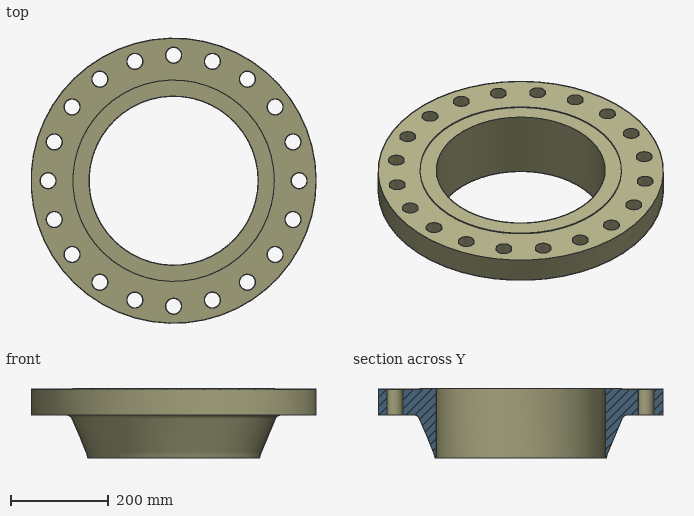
import cadquery as cq

flange_diameter = 584.0
total_height = 143.0
raised_face_height = 2.0
raised_face_diameter = 412.5
flange_thickness = 53.0
bore_diameter = 346.0

neck_end_diameter = 351.5
neck_bevel_diameter = 356.5
neck_bevel_height = 9.0
neck_root_diameter = 423.0
root_fillet_radius = 11.5

bolt_count = 20
bolt_circle_diameter = 514.0
bolt_hole_diameter = 32.0

flange_top = total_height - raised_face_height
flange_bottom = flange_top - flange_thickness


def make_blank():
    """Revolve the solid outline of neck, flange and raised face about Z."""
    outline = (
        cq.Workplane("XZ")
        .lineTo(neck_end_diameter / 2, 0)
        .lineTo(neck_bevel_diameter / 2, neck_bevel_height)
        .lineTo(neck_root_diameter / 2, flange_bottom)
        .lineTo(flange_diameter / 2, flange_bottom)
        .lineTo(flange_diameter / 2, flange_top)
        .lineTo(raised_face_diameter / 2, flange_top)
        .lineTo(raised_face_diameter / 2, total_height)
        .lineTo(0, total_height)
        .close()
    )
    return outline.revolve(360, (0, 0, 0), (0, 1, 0))


def round_neck_root(body):
    """Blend the tapered neck into the underside of the flange."""
    root_half_size = neck_root_diameter / 2 + root_fillet_radius
    root_edge = cq.selectors.BoxSelector(
        (-root_half_size, -root_half_size, flange_bottom - root_fillet_radius),
        (root_half_size, root_half_size, flange_bottom + root_fillet_radius),
        boundingbox=True,
    )
    return body.edges(root_edge).edges("%CIRCLE").fillet(root_fillet_radius)


def make_bore():
    return cq.Workplane("XY").circle(bore_diameter / 2).extrude(total_height)


def make_bolt_holes():
    return (
        cq.Workplane("XY")
        .workplane(offset=flange_bottom)
        .polarArray(bolt_circle_diameter / 2, 0, 360, bolt_count)
        .circle(bolt_hole_diameter / 2)
        .extrude(flange_thickness)
    )


result = round_neck_root(make_blank()).cut(make_bore()).cut(make_bolt_holes())